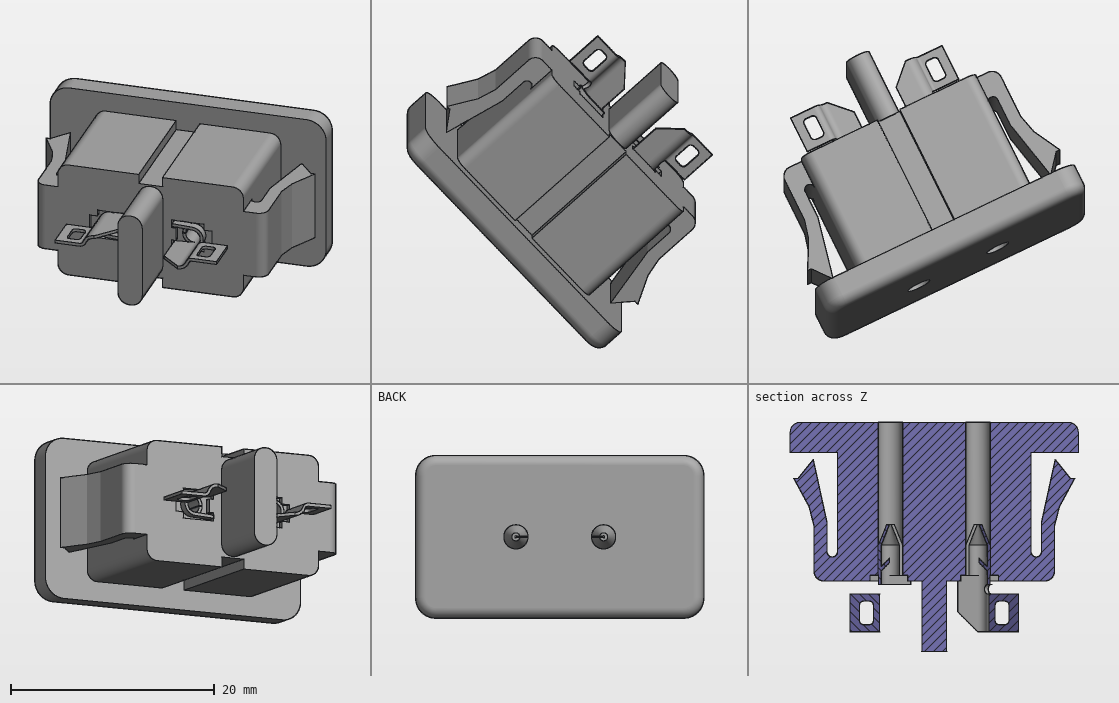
import cadquery as cq
import math


FLANGE_WIDTH = 28.3
FLANGE_HEIGHT = 16.0
FLANGE_THICKNESS = 3.0
FLANGE_CORNER_RADIUS = 2.0
FLANGE_EDGE_RADIUS = 1.0

BODY_WIDTH = 19.02
BODY_HEIGHT = 12.0
BODY_DEPTH = 12.6
BODY_CORNER_RADIUS = 1.1
GROOVE_WIDTH = 2.43
GROOVE_DEPTH = 1.0

BARRIER_WIDTH = 2.5
BARRIER_HEIGHT = 9.7
BARRIER_EDGE_RADIUS = 1.2
OVERALL_DEPTH = 22.5
BARRIER_END = OVERALL_DEPTH - FLANGE_THICKNESS

CLIP_HEIGHT = 6.95
CLIP_OUTER_X = 11.8
CLIP_INNER_X = 10.5
CLIP_CORNER_RADIUS = 1.0
CLIP_TIP_X = 11.85
CLIP_TIP_DEPTH = 0.65
CATCH_DEPTH = 2.52
CATCH_ROOT_X = 13.35
CATCH_OUTER_X = 13.78
CLIP_KNEE_X = 12.28
CLIP_KNEE_DEPTH = 5.3
CLIP_OUTER_BEND_DEPTH = 7.2
CLIP_INNER_BEND_DEPTH = 6.88
CLIP_SLOT_DEPTH = 10.22

CONTACT_X = 4.3
TUBE_RADIUS = 1.2
SHEET = 0.3
BORE_RADIUS = TUBE_RADIUS - SHEET
ARM_REACH = 2.0
ARM_TILT = math.radians(3)
COLLAR_LENGTH = 0.35
TERMINAL_LENGTH = 4.98
TAB_REACH = 3.95
TAB_BEND_X = 1.47
TAB_SLOT_X = 2.35
TAB_SLOT_WIDTH = 1.35
TAB_SLOT_LENGTH = 2.3
TAB_SLOT_RADIUS = 0.4
ARM_CHAMFER = 1.98
RELIEF_WIDTH = 0.9
RELIEF_TOP = 0.62
TUBE_LENGTH = 3.0
TAPER_LENGTH = 1.98
TAPER_END_BORE = 0.08
SLIT_WIDTH = 0.08
TONGUE_HEIGHT = 1.35
TONGUE_EDGE_X = -0.08
TONGUE_DEPTH = 0.15

RECESS_DEPTH = 0.57
RECESS_HEIGHT = 3.0
RECESS_OUTER_X = -1.15
RECESS_INNER_X = 2.15
EAR_X = -1.98
EAR_HEIGHT = 1.73
KEY_X = 1.7
KEY_HEIGHT = 1.35

FLOOR_Y = RECESS_DEPTH - BODY_DEPTH
COLLAR_END_Y = -BODY_DEPTH - COLLAR_LENGTH
TERMINAL_END_Y = -BODY_DEPTH - TERMINAL_LENGTH
TUBE_END_Y = FLOOR_Y + TUBE_LENGTH + TAPER_LENGTH

ARM_ANGLE = math.pi / 2 + ARM_TILT
TUBE_MEAN_RADIUS = (TUBE_RADIUS + BORE_RADIUS) / 2
TAB_BEND_RADIUS = (TAB_BEND_X**2 - TUBE_MEAN_RADIUS**2) / (2 * TUBE_MEAN_RADIUS)
TAB_ANGLE = math.atan2(TAB_BEND_RADIUS, -TAB_BEND_X)


def section_plane(y):
    """XZ sketch plane at height y, whose extrusions run towards -Y."""
    return cq.Workplane("XZ", origin=(0, y, 0))


def box(x_min, x_max, y_min, y_max, height):
    """Box centred on Z = 0."""
    return cq.Workplane("XY", origin=((x_min + x_max) / 2, (y_min + y_max) / 2, 0)).box(
        x_max - x_min, y_max - y_min, height
    )


def polar(radius, angle):
    """Sketch point at this radius and angle about the contact axis."""
    return (radius * math.cos(angle), radius * math.sin(angle))



def make_flange():
    flange = section_plane(FLANGE_THICKNESS).rect(FLANGE_WIDTH, FLANGE_HEIGHT).extrude(FLANGE_THICKNESS)
    return flange.edges("|Y").fillet(FLANGE_CORNER_RADIUS).faces(">Y").edges().fillet(FLANGE_EDGE_RADIUS)


def make_body():
    body = section_plane(0).rect(BODY_WIDTH, BODY_HEIGHT).extrude(BODY_DEPTH)
    body = body.edges("|Y").fillet(BODY_CORNER_RADIUS)
    for side in (1, -1):
        groove = section_plane(0).center(0, side * (BODY_HEIGHT - GROOVE_DEPTH) / 2)
        body = body.cut(groove.rect(GROOVE_WIDTH, GROOVE_DEPTH).extrude(BODY_DEPTH))
    return body


def make_barrier():
    length = BARRIER_END - BODY_DEPTH
    barrier = section_plane(-BODY_DEPTH).rect(BARRIER_WIDTH, BARRIER_HEIGHT).extrude(length)
    return barrier.edges("|Y").fillet(BARRIER_EDGE_RADIUS)


def make_clip():
    """Clip on the +X side; its foot joins the body behind a round-bottomed slot."""
    body_side = BODY_WIDTH / 2
    slot_radius = (CLIP_INNER_X - body_side) / 2
    slot_arc_y = slot_radius - CLIP_SLOT_DEPTH
    clip = (
        cq.Workplane("XY")
        .moveTo(body_side, slot_arc_y)
        .threePointArc((body_side + slot_radius, -CLIP_SLOT_DEPTH), (CLIP_INNER_X, slot_arc_y))
        .lineTo(CLIP_INNER_X, -CLIP_INNER_BEND_DEPTH)
        .lineTo(CLIP_TIP_X, -CLIP_TIP_DEPTH)
        .lineTo(CATCH_ROOT_X, -CATCH_DEPTH)
        .lineTo(CATCH_OUTER_X, -CATCH_DEPTH)
        .lineTo(CLIP_KNEE_X, -CLIP_KNEE_DEPTH)
        .lineTo(CLIP_OUTER_X, -CLIP_OUTER_BEND_DEPTH)
        .lineTo(CLIP_OUTER_X, CLIP_CORNER_RADIUS - BODY_DEPTH)
        .radiusArc((CLIP_OUTER_X - CLIP_CORNER_RADIUS, -BODY_DEPTH), CLIP_CORNER_RADIUS)
        .lineTo(body_side, -BODY_DEPTH)
        .close()
    )
    return clip.extrude(CLIP_HEIGHT / 2, both=True)


def make_contact_pocket():
    """Keyed rear recess and the through hole for the tube, about the contact axis."""
    main = box(RECESS_OUTER_X, RECESS_INNER_X, -BODY_DEPTH, FLOOR_Y, RECESS_HEIGHT)
    ear = box(EAR_X, RECESS_OUTER_X, -BODY_DEPTH, FLOOR_Y, EAR_HEIGHT)
    key = box(KEY_X, RECESS_INNER_X, -BODY_DEPTH, FLOOR_Y, KEY_HEIGHT)
    hole = section_plane(FLANGE_THICKNESS).circle(TUBE_RADIUS).extrude(FLANGE_THICKNESS - FLOOR_Y)
    return main.cut(key).union(ear).union(hole)


def make_housing():
    clip = make_clip()
    housing = make_flange().union(make_body()).union(make_barrier())
    housing = housing.union(clip).union(clip.mirror("YZ"))
    for angle in (0, 180):
        housing = housing.cut(place_contact(make_contact_pocket(), angle))
    return housing



def place_contact(shape, angle):
    """Move a shape from the contact axis to the -X pole, then turn it about the Y axis."""
    return shape.translate((-CONTACT_X, 0, 0)).rotate((0, 0, 0), (0, 1, 0), angle)


def arm_end(radius):
    """End point of the upper arm surface that leaves the tube tangentially at this radius."""
    return (ARM_REACH, radius / math.cos(ARM_TILT) + ARM_REACH * math.tan(ARM_TILT))


def make_rolled_tube():
    """Tube over the whole contact length, tapering almost shut at its front end."""
    straight_end_y = FLOOR_Y + TUBE_LENGTH
    return (
        cq.Workplane("XY")
        .moveTo(BORE_RADIUS, TERMINAL_END_Y)
        .lineTo(TUBE_RADIUS, TERMINAL_END_Y)
        .lineTo(TUBE_RADIUS, straight_end_y)
        .lineTo(TAPER_END_BORE + SHEET, TUBE_END_Y)
        .lineTo(TAPER_END_BORE, TUBE_END_Y)
        .lineTo(BORE_RADIUS, straight_end_y)
        .close()
        .revolve(360, (0, 0, 0), (0, 1, 0))
    )


def make_sector(y_front, y_rear, start, end):
    """Wedge about the contact axis between two angles, reaching past the tube wall."""
    reach = 4 * TUBE_RADIUS
    middle = (start + end) / 2
    wedge = section_plane(y_front).lineTo(*polar(reach, start)).lineTo(*polar(reach, middle))
    return wedge.lineTo(*polar(reach, end)).close().extrude(y_front - y_rear)


def make_arm(y_rear):
    """Upper arm, leaving the tube wall tangentially and running from the recess floor to y_rear."""
    profile = (
        section_plane(FLOOR_Y)
        .moveTo(*arm_end(TUBE_RADIUS))
        .lineTo(*polar(TUBE_RADIUS, ARM_ANGLE))
        .lineTo(*polar(BORE_RADIUS, ARM_ANGLE))
        .lineTo(*arm_end(BORE_RADIUS))
        .close()
    )
    return profile.extrude(FLOOR_Y - y_rear)


def make_tab():
    """Solder tab with the reverse bend that joins it to the tube wall."""
    profile = (
        section_plane(COLLAR_END_Y)
        .moveTo(*polar(TUBE_RADIUS, TAB_ANGLE))
        .radiusArc((-TAB_BEND_X, SHEET / 2), TAB_BEND_RADIUS - SHEET / 2)
        .lineTo(-TAB_REACH, SHEET / 2)
        .lineTo(-TAB_REACH, -SHEET / 2)
        .lineTo(-TAB_BEND_X, -SHEET / 2)
        .radiusArc(polar(BORE_RADIUS, TAB_ANGLE), -TAB_BEND_RADIUS - SHEET / 2)
        .close()
    )
    return profile.extrude(COLLAR_END_Y - TERMINAL_END_Y)


def make_relief():
    """Round-topped slot that frees the tab from the collar, open downwards."""
    radius = RELIEF_WIDTH / 2
    bottom = -TUBE_RADIUS
    near, far = COLLAR_END_Y, COLLAR_END_Y - RELIEF_WIDTH
    profile = (
        cq.Workplane("YZ", origin=(-TAB_REACH, 0, 0))
        .moveTo(near, bottom)
        .lineTo(near, RELIEF_TOP - radius)
        .threePointArc(((near + far) / 2, RELIEF_TOP), (far, RELIEF_TOP - radius))
        .lineTo(far, bottom)
        .close()
    )
    return profile.extrude(TAB_REACH)


def make_tab_slot():
    middle_y = (COLLAR_END_Y - RELIEF_WIDTH + TERMINAL_END_Y) / 2
    plane = cq.Workplane("XY", origin=(-TAB_SLOT_X, middle_y, 0))
    return plane.box(TAB_SLOT_WIDTH, TAB_SLOT_LENGTH, 2 * SHEET).edges("|Z").fillet(TAB_SLOT_RADIUS)


def make_arm_chamfer():
    corner = (
        cq.Workplane("XY")
        .moveTo(ARM_REACH, TERMINAL_END_Y)
        .lineTo(ARM_REACH, TERMINAL_END_Y + ARM_CHAMFER)
        .lineTo(ARM_REACH - ARM_CHAMFER, TERMINAL_END_Y)
        .close()
    )
    return corner.extrude(2 * TUBE_RADIUS)


def make_tongue():
    """Flat stop inside the tube, leaning 45 degrees inwards from its outer wall."""
    run = TONGUE_EDGE_X + TUBE_RADIUS
    start_y = FLOOR_Y + TONGUE_DEPTH
    thickness_y = SHEET * math.sqrt(2)
    plate = (
        cq.Workplane("XY")
        .moveTo(-TUBE_RADIUS, start_y)
        .lineTo(TONGUE_EDGE_X, start_y + run)
        .lineTo(TONGUE_EDGE_X, start_y + run + thickness_y)
        .lineTo(-TUBE_RADIUS, start_y + thickness_y)
        .close()
        .extrude(TONGUE_HEIGHT / 2, both=True)
    )
    envelope = section_plane(FLOOR_Y + TUBE_LENGTH).circle(TUBE_RADIUS - SHEET / 2).extrude(TUBE_LENGTH)
    return plate.intersect(envelope)


def make_contact():
    """One contact about its own axis, with its tab towards -X and its long arm on the upper side."""
    slit = box(0, TUBE_RADIUS, FLOOR_Y, TUBE_END_Y, SLIT_WIDTH)
    collar_opening = make_sector(FLOOR_Y, COLLAR_END_Y, -ARM_ANGLE, ARM_ANGLE)
    terminal_opening = make_sector(COLLAR_END_Y, TERMINAL_END_Y, -math.pi, ARM_ANGLE)
    below_tab = make_sector(COLLAR_END_Y, TERMINAL_END_Y, TAB_ANGLE, math.pi)
    tube = make_rolled_tube().cut(slit).cut(collar_opening).cut(terminal_opening).cut(below_tab)
    upper_arm = make_arm(TERMINAL_END_Y).cut(make_arm_chamfer())
    lower_arm = make_arm(COLLAR_END_Y).mirror("XY")
    contact = tube.union(upper_arm).union(lower_arm).union(make_tab())
    return contact.cut(make_relief()).cut(make_tab_slot()).union(make_tongue())



housing = make_housing()
contacts = [place_contact(make_contact(), angle) for angle in (0, 180)]

result = cq.Compound.makeCompound(
    [housing.solids().val(), *[contact.solids().val() for contact in contacts]]
)